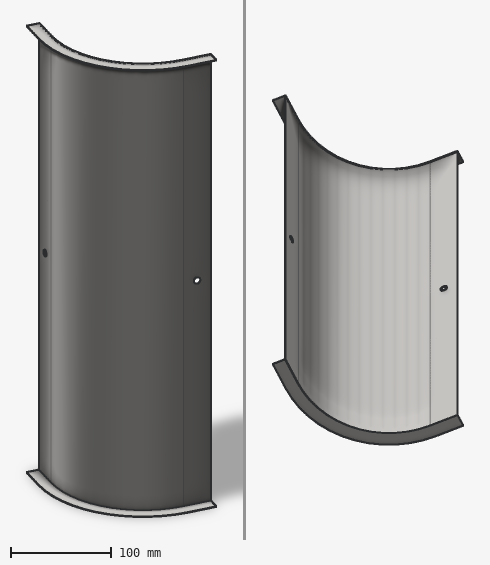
import cadquery as cq
import math

height = 502.0
overall_width = 143.0
sheet = 1.0
flange_overhang = 13.0
straight_length = 30.0
hole_diameter = 7.0
hole_inset = 15.0

wall_reach = overall_width - flange_overhang
bend_radius = wall_reach - straight_length
inner_radius = bend_radius - sheet
flange_radius = bend_radius + flange_overhang

free_x = -straight_length
free_y = straight_length


def curved_strip(inner, outer, length):
    """Extrude a quarter bend with a flat strip tangent to each end."""
    diagonal = math.sqrt(0.5)
    return (
        cq.Workplane("XY")
        .moveTo(free_x, -outer)
        .lineTo(0, -outer)
        .threePointArc((outer * diagonal, -outer * diagonal), (outer, 0))
        .lineTo(outer, free_y)
        .lineTo(inner, free_y)
        .lineTo(inner, 0)
        .threePointArc((inner * diagonal, -inner * diagonal), (0, -inner))
        .lineTo(free_x, -inner)
        .close()
        .extrude(length)
    )


wall = curved_strip(inner_radius, bend_radius, height)
flange = curved_strip(inner_radius, flange_radius, sheet)
body = wall.union(flange).union(flange.translate((0, 0, height - sheet)))

hole_radius = hole_diameter / 2
cut_depth = 3 * sheet
middle = height / 2
front_start = cq.Vector(free_x + hole_inset, -bend_radius - sheet, middle)
side_start = cq.Vector(bend_radius + sheet, free_y - hole_inset, middle)
for start, direction in (
    (front_start, cq.Vector(0, 1, 0)),
    (side_start, cq.Vector(-1, 0, 0)),
):
    body = body.cut(cq.Workplane(cq.Solid.makeCylinder(hole_radius, cut_depth, start, direction)))

result = body